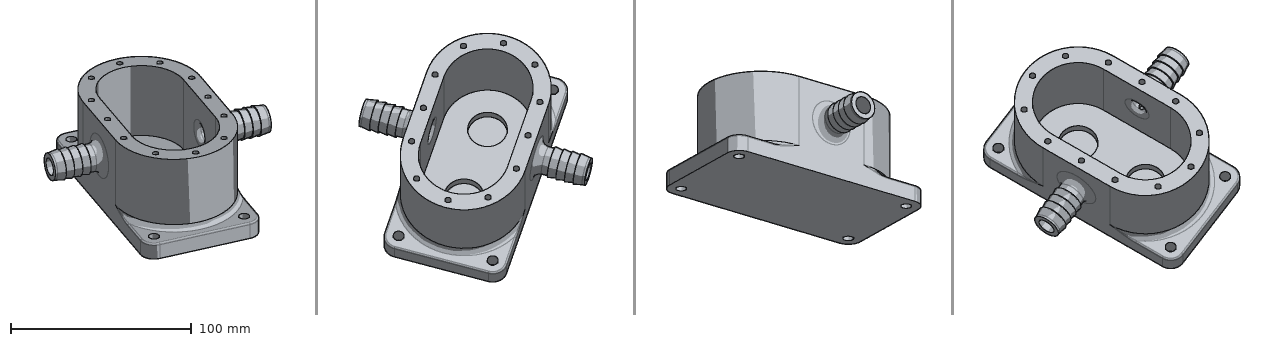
import cadquery as cq
import math

plate_length = 130.8
width = 70.6
plate_height = 10.0
corner_radius = 8.1
plate_edge_round = 1.0
mount_hole_diameter = 6.0

height = 54.9
end_offset = 22.4
end_radius = width / 2
wall = 10.1
floor_thickness = plate_height
base_fillet = 3.0

seat_diameter = 22.0
seat_depth = floor_thickness / 2

screw_hole_diameter = 3.4
screw_hole_depth = 30.0
drill_point_angle = 118.0
screw_step_angle = 43.0

port_height = 32.4
bore_diameter = 10.0
neck_diameter = 15.8
barb_diameter = 17.7
barb_count = 4
barb_length = 5.0
tip_length = 1.3
tip_to_tip = 130.4
nozzle_length = (tip_to_tip - width) / 2
outer_flare_radius = 5.0
bore_flare_radius = 3.0


def stadium(radius, bottom, top):
    """Upright solid with two half-round ends centred at +/- end_offset."""
    return (
        cq.Workplane("XY", origin=(0, 0, bottom))
        .slot2D(2 * (end_offset + radius), 2 * radius)
        .extrude(top - bottom)
    )


def plate_blank(top):
    """Round-cornered rectangle of the plate, extruded up to the given height."""
    return cq.Workplane("XY").rect(plate_length, width).extrude(top).edges("|Z").fillet(corner_radius)


def base_fillet_ring(side):
    """Concave fillet around one round end; it starts inside the housing wall."""
    inner = end_radius - wall / 2
    outer = end_radius + base_fillet
    fillet_top = plate_height + base_fillet
    bulge = base_fillet * math.sqrt(0.5)
    ring = (
        cq.Workplane("XZ")
        .moveTo(inner, plate_height / 2)
        .lineTo(outer, plate_height / 2)
        .lineTo(outer, plate_height)
        .threePointArc((outer - bulge, fillet_top - bulge), (end_radius, fillet_top))
        .lineTo(inner, fillet_top)
        .close()
        .revolve(360, (0, 0, 0), (0, 1, 0))
        .translate((side * end_offset, 0, 0))
    )
    outward_block = (
        cq.Workplane("XY")
        .box(plate_length, 2 * width, 2 * height)
        .translate((side * (end_offset + plate_length / 2), 0, 0))
    )
    return ring.intersect(outward_block)


def base():
    """Plate blended into the housing, with its upper outer edge rounded."""
    body = plate_blank(plate_height)
    footprint = plate_blank(height)
    for side in (-1, 1):
        body = body.union(base_fillet_ring(side).intersect(footprint))
    body = body.union(stadium(end_radius, 0, height))
    return body.newObject(plate_outer_edges(body)).fillet(plate_edge_round)


def plate_outer_edges(body):
    """Edges around the top of the plate, including where they climb the base fillet."""
    edges = []
    tolerance = 0.01
    lowest = plate_height - tolerance
    highest = plate_height + base_fillet + tolerance
    for edge in body.edges().vals():
        box = edge.BoundingBox()
        at_plate_top = lowest < box.zmin and box.zmax < highest
        circles_housing = edge.geomType() == "CIRCLE" and edge.radius() >= end_radius - tolerance
        if at_plate_top and not circles_housing:
            edges.append(edge)
    return edges


def nozzle():
    """Hose barb along +Y, flared where it leaves the housing."""
    neck_radius = neck_diameter / 2
    barb_radius = barb_diameter / 2
    wall_face = width / 2
    tip = wall_face + nozzle_length
    barbs_start = tip - tip_length - barb_count * barb_length
    flare_top = neck_radius + outer_flare_radius
    bulge = outer_flare_radius * math.sqrt(0.5)
    profile = (
        cq.Workplane("XY")
        .moveTo(0, wall_face - wall / 2)
        .lineTo(flare_top, wall_face - wall / 2)
        .lineTo(flare_top, wall_face)
        .threePointArc(
            (flare_top - bulge, wall_face + outer_flare_radius - bulge),
            (neck_radius, wall_face + outer_flare_radius),
        )
        .lineTo(neck_radius, barbs_start)
    )
    for index in range(barb_count):
        profile = profile.lineTo(barb_radius, barbs_start + index * barb_length)
        profile = profile.lineTo(neck_radius, barbs_start + (index + 1) * barb_length)
    profile = profile.lineTo(neck_radius, tip).lineTo(0, tip).close()
    return profile.revolve(360, (0, 0, 0), (0, 1, 0)).translate((0, 0, port_height))


def port_bore():
    """Bore along +Y from the cavity to the nozzle tip, rounded at the cavity wall."""
    bore_radius = bore_diameter / 2
    mouth_radius = bore_radius + bore_flare_radius
    cavity_face = width / 2 - wall
    bulge = bore_flare_radius * math.sqrt(0.5)
    tip = width / 2 + nozzle_length
    return (
        cq.Workplane("XY")
        .lineTo(mouth_radius, 0)
        .lineTo(mouth_radius, cavity_face)
        .threePointArc(
            (mouth_radius - bulge, cavity_face + bore_flare_radius - bulge),
            (bore_radius, cavity_face + bore_flare_radius),
        )
        .lineTo(bore_radius, tip)
        .lineTo(0, tip)
        .close()
        .revolve(360, (0, 0, 0), (0, 1, 0))
        .translate((0, 0, port_height))
    )


def screw_points():
    """Hole centres along the middle of the rim: three per side, three per round end."""
    pitch_radius = end_radius - wall / 2
    points = [(0, pitch_radius), (0, -pitch_radius)]
    for side in (-1, 1):
        for angle in (-90, -screw_step_angle, 0, screw_step_angle, 90):
            turn = math.radians(angle)
            x = side * (end_offset + pitch_radius * math.cos(turn))
            points.append((x, pitch_radius * math.sin(turn)))
    return points


def screw_holes():
    """Blind drilled holes with conical bottoms."""
    radius = screw_hole_diameter / 2
    point_depth = radius / math.tan(math.radians(drill_point_angle / 2))
    hole = (
        cq.Workplane("XZ")
        .lineTo(radius, 0)
        .lineTo(radius, -screw_hole_depth)
        .lineTo(0, -screw_hole_depth - point_depth)
        .close()
        .revolve(360, (0, 0, 0), (0, 1, 0))
        .val()
    )
    return (
        cq.Workplane("XY", origin=(0, 0, height))
        .pushPoints(screw_points())
        .eachpoint(lambda place: hole.moved(place))
    )


def mount_holes():
    """Through holes concentric with the plate corners."""
    return (
        cq.Workplane("XY")
        .rect(plate_length - 2 * corner_radius, width - 2 * corner_radius, forConstruction=True)
        .vertices()
        .circle(mount_hole_diameter / 2)
        .extrude(plate_height)
    )


def floor_seats():
    """Shallow round recesses in the cavity floor, centred on the two round ends."""
    return (
        cq.Workplane("XY", origin=(0, 0, floor_thickness - seat_depth))
        .pushPoints([(-end_offset, 0), (end_offset, 0)])
        .circle(seat_diameter / 2)
        .extrude(seat_depth)
    )


def both_sides(shape):
    """The shape together with its mirror image on the -Y side."""
    return shape.union(shape.mirror("XZ"))


result = (
    base()
    .union(both_sides(nozzle()))
    .cut(stadium(end_radius - wall, floor_thickness, height))
    .cut(both_sides(port_bore()))
    .cut(floor_seats())
    .cut(screw_holes())
    .cut(mount_holes())
)